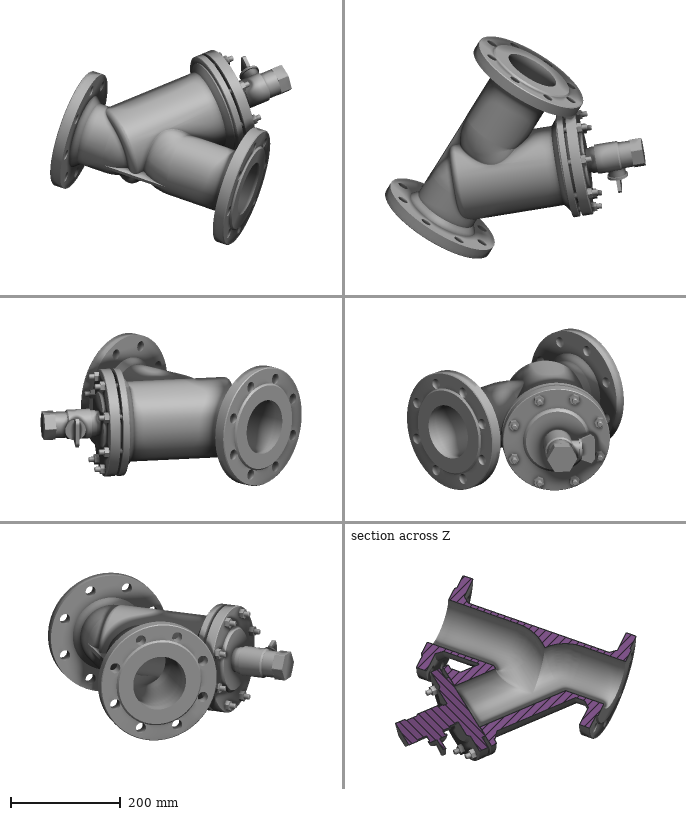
import cadquery as cq
import math


face_to_face = 350.0
pipe_outer_d = 116.0
pipe_bore_d = 100.0
flange_d = 220.0
flange_thickness = 20.5
flange_chamfer = 1.5
raised_face_d = 155.0
raised_face_base_d = 161.0
raised_face_height = 3.5
hub_d = 136.7
hub_length = 12.0
flange_hole_d = 19.0
flange_hole_circle_d = 180.0
flange_hole_count = 8

branch_angle = 50.0
branch_x = -75.2
branch_d = 146.0
branch_end_station = -15.3
branch_end_fillet = 11.0

bend_radius = 31.5
outlet_bend_x = 36.3
inlet_turn = branch_angle
outlet_turn = 90.0 - branch_angle
inlet_tangent = bend_radius * math.tan(math.radians(inlet_turn / 2))
outlet_tangent = bend_radius * math.tan(math.radians(outlet_turn / 2))
inlet_bend_x = branch_x - inlet_tangent
branch_floor_station = inlet_tangent

web_thickness = 8.0
seam_fillet = 1.5

joint_d = 196.0
neck_start_station = 175.0
neck_rim_station = 185.2
neck_rim_d = 172.0
body_flange_station = 187.5
body_flange_thickness = 12.0
joint_gap = 5.7
cover_thickness = 18.7
joint_chamfer = 1.0
boss_base_d = 122.2
boss_top_d = 112.3
boss_height = 5.5
body_flange_top = body_flange_station + body_flange_thickness
cover_station = body_flange_top + joint_gap
cover_top = cover_station + cover_thickness
boss_top = cover_top + boss_height

stud_count = 8
stud_d = 10.0
stud_circle_d = 169.5
stud_engagement = 8.5
stud_chamfer = 1.0
stud_top = 242.0
nut_across_flats = 16.5
nut_height = 8.5
nut_turn = 30.0

valve_root_d = 45.0
valve_neck_d = 48.0
valve_body_d = 54.0
valve_neck_station = 236.0
valve_body_station = 245.5
valve_body_top = 290.0
valve_body_chamfer = 2.5
cap_station = 311.5
cap_top = 332.3
cap_across_flats = 47.7
cap_edge_chamfer = 0.8

port_station = 278.5
port_d = 32.0
port_flange_d = 38.0
port_flange_reach = 40.0
port_flange_thickness = 4.5

handle_reach = 65.0
handle_thickness = 6.5
handle_root_width = 39.7
handle_tip_width = 54.2
handle_corner_radius = 7.5
handle_shoulder = 7.0

axis_x = math.cos(math.radians(branch_angle))
axis_y = math.sin(math.radians(branch_angle))
along_branch = cq.selectors.ParallelDirSelector(cq.Vector(axis_x, axis_y, 0))


def branch_plane(station):
    """Plane square to the branch axis; local x lies in the XY plane, towards the outlet."""
    return cq.Plane(
        origin=(branch_x + station * axis_x, station * axis_y, 0),
        xDir=(axis_y, -axis_x, 0),
        normal=(axis_x, axis_y, 0),
    )


def near_branch_point(station):
    """Selector for the edge, or edges, whose centre is nearest to a point on the branch axis."""
    return cq.selectors.NearestToPointSelector(branch_plane(station).origin.toTuple())


def branch_cylinder(diameter, start, end):
    return cq.Workplane(branch_plane(start)).circle(diameter / 2).extrude(end - start)


def branch_cone(start_d, end_d, start, end):
    return (
        cq.Workplane(branch_plane(start))
        .circle(start_d / 2)
        .workplane(offset=end - start)
        .circle(end_d / 2)
        .loft()
    )


def stud_places(station):
    return cq.Workplane(branch_plane(station)).polarArray(
        stud_circle_d / 2, 180.0 / stud_count, 360, stud_count
    )


def side_cylinder(diameter, station, reach, length):
    """Cylinder square to the branch axis on the inlet side; starts at reach and runs inwards."""
    plane = cq.Plane(
        origin=branch_plane(station).toWorldCoords((-reach, 0, 0)).toTuple(),
        xDir=(0, 0, 1),
        normal=(axis_y, -axis_x, 0),
    )
    return cq.Workplane(plane).circle(diameter / 2).extrude(length)


def pipe_cylinder(diameter, start_x, end_x):
    return cq.Workplane("YZ", origin=(start_x, 0, 0)).circle(diameter / 2).extrude(end_x - start_x)


def elbow(diameter, bend_x, turn):
    """Turn the part of the pipe section outside the bend axis; a negative turn goes towards -X."""
    radius = diameter / 2
    half_chord = math.sqrt(radius ** 2 - bend_radius ** 2)
    section = (
        cq.Workplane("YZ", origin=(bend_x, 0, 0))
        .moveTo(bend_radius, half_chord)
        .threePointArc((-radius, 0), (bend_radius, -half_chord))
        .close()
    )
    direction = 1 if turn > 0 else -1
    return section.revolve(abs(turn), (bend_radius, 0, 0), (bend_radius, direction, 0))


def run_passage(diameter, end_x):
    """Pipes and elbows of one diameter, from the outer ends to the branch axis."""
    outlet_corner = outlet_bend_x - outlet_tangent - branch_x
    outlet_station = outlet_corner * axis_x
    outlet_reach = outlet_corner * axis_y - outlet_tangent
    return (
        pipe_cylinder(diameter, -end_x, inlet_bend_x)
        .union(elbow(diameter, inlet_bend_x, inlet_turn))
        .union(pipe_cylinder(diameter, outlet_bend_x, end_x))
        .union(elbow(diameter, outlet_bend_x, -outlet_turn))
        .union(side_cylinder(diameter, outlet_station, 0, outlet_reach))
    )


def end_flange():
    """Weld-neck flange of the inlet end, turned about the run axis, with its bolt holes."""
    face_x = -face_to_face / 2
    front_x = face_x + raised_face_height
    back_x = front_x + flange_thickness
    outer_r = flange_d / 2
    profile = [
        (face_x, 0),
        (face_x, raised_face_d / 2),
        (front_x, raised_face_base_d / 2),
        (front_x, outer_r - flange_chamfer),
        (front_x + flange_chamfer, outer_r),
        (back_x, outer_r),
        (back_x, hub_d / 2),
        (back_x + hub_length, pipe_outer_d / 2),
        (back_x + hub_length, 0),
    ]
    holes = (
        cq.Workplane("YZ", origin=(face_x, 0, 0))
        .polarArray(flange_hole_circle_d / 2, 180.0 / flange_hole_count, 360, flange_hole_count)
        .circle(flange_hole_d / 2)
        .extrude(raised_face_height + flange_thickness)
    )
    flange = cq.Workplane("XY").polyline(profile).close().revolve(360, (0, 0, 0), (1, 0, 0))
    return flange.cut(holes)


def web():
    """Flat rib that fills the hollow between the two elbows, level with the run."""
    height = pipe_outer_d / 2
    return cq.Workplane("XY").box(
        outlet_bend_x - inlet_bend_x, height, web_thickness, centered=(False, False, True)
    ).translate((inlet_bend_x, -height, 0))


def elbow_seams():
    """Selector for everything up to the outlet elbow, where the elbows run into the branch."""
    half_length = face_to_face / 2
    return cq.selectors.BoxSelector(
        (-half_length, -half_length, -half_length), (outlet_bend_x, half_length, half_length)
    )


def make_housing():
    branch = branch_cylinder(branch_d, branch_end_station, body_flange_station)
    branch = branch.edges(near_branch_point(branch_end_station)).fillet(branch_end_fillet)
    neck = branch_cone(branch_d, neck_rim_d, neck_start_station, neck_rim_station)
    neck_rim = branch_cylinder(neck_rim_d, neck_rim_station, body_flange_station)
    body_flange = branch_cylinder(joint_d, body_flange_station, body_flange_top)
    body_flange = body_flange.edges(near_branch_point(body_flange_station)).chamfer(joint_chamfer)
    inlet_flange = end_flange()
    outlet_flange = inlet_flange.mirror("YZ")
    flange_back_x = face_to_face / 2 - raised_face_height - flange_thickness

    housing = run_passage(pipe_outer_d, flange_back_x).union(branch)
    housing = housing.edges("%BSPLINE or %ELLIPSE").edges(elbow_seams()).fillet(seam_fillet)
    for piece in (neck, neck_rim, body_flange, web(), inlet_flange, outlet_flange):
        housing = housing.union(piece)

    stud_holes = stud_places(body_flange_top).circle(stud_d / 2).extrude(-stud_engagement)
    return (
        housing.cut(run_passage(pipe_bore_d, face_to_face / 2))
        .cut(branch_cylinder(pipe_bore_d, branch_floor_station, body_flange_top))
        .cut(stud_holes)
    )


def valve_cap():
    """Hexagon cap with softened edges; two of its flats face up and down."""
    height = cap_top - cap_station
    corner_d = cap_across_flats / math.cos(math.pi / 6)
    hexagon = cq.Workplane(branch_plane(cap_station)).polygon(6, corner_d).extrude(height)
    return hexagon.edges(along_branch).chamfer(cap_edge_chamfer)


def valve_handle():
    """Flat wing handle square to the branch axis, widest near its rounded tip."""
    root = -port_flange_reach
    tip = -handle_reach
    shoulder = tip + handle_shoulder
    blade = (
        cq.Workplane(branch_plane(port_station - handle_thickness / 2))
        .polyline([
            (root, handle_root_width / 2),
            (shoulder, handle_tip_width / 2),
            (tip, handle_root_width / 2),
            (tip, -handle_root_width / 2),
            (shoulder, -handle_tip_width / 2),
            (root, -handle_root_width / 2),
        ])
        .close()
        .extrude(handle_thickness)
    )
    return blade.edges(along_branch).edges("<X").fillet(handle_corner_radius)


def make_cover():
    plate = branch_cylinder(joint_d, cover_station, cover_top)
    plate = plate.edges(near_branch_point(cover_top)).chamfer(joint_chamfer)
    valve_body = branch_cylinder(valve_body_d, valve_body_station, valve_body_top)
    valve_body = valve_body.edges(near_branch_point(valve_body_top)).chamfer(valve_body_chamfer)
    pieces = [
        branch_cylinder(branch_d, body_flange_top, cover_station),
        branch_cone(boss_base_d, boss_top_d, cover_top, boss_top),
        branch_cylinder(valve_root_d, boss_top, valve_neck_station),
        branch_cylinder(valve_neck_d, valve_neck_station, cap_station),
        valve_body,
        valve_cap(),
        side_cylinder(port_d, port_station, port_flange_reach, port_flange_reach),
        side_cylinder(port_flange_d, port_station, port_flange_reach, port_flange_thickness),
        valve_handle(),
    ]
    cover = plate
    for piece in pieces:
        cover = cover.union(piece)
    stud_holes = stud_places(cover_station).circle(stud_d / 2).extrude(cover_thickness)
    return cover.cut(stud_holes)


def make_stud(index):
    """Stud with its nut; one flat of the nut faces away from the branch axis."""
    angle = 360.0 / stud_count * (index + 0.5)
    bottom = body_flange_top - stud_engagement
    offset = (stud_circle_d / 2, 0)
    shank = (
        cq.Workplane("XY")
        .workplane(offset=bottom)
        .center(*offset)
        .circle(stud_d / 2)
        .extrude(stud_top - bottom)
        .faces(">Z")
        .chamfer(stud_chamfer)
    )
    nut = (
        cq.Workplane("XY")
        .workplane(offset=cover_top)
        .center(*offset)
        .transformed(rotate=(0, 0, nut_turn))
        .polygon(6, nut_across_flats / math.cos(math.pi / 6))
        .extrude(nut_height)
    )
    stud = shank.union(nut).rotate((0, 0, 0), (0, 0, 1), angle)
    return stud.val().moved(cq.Location(branch_plane(0)))


housing = make_housing()
cover = make_cover()
studs = [make_stud(index) for index in range(stud_count)]

result = cq.Compound.makeCompound([housing.val(), cover.val(), *studs])